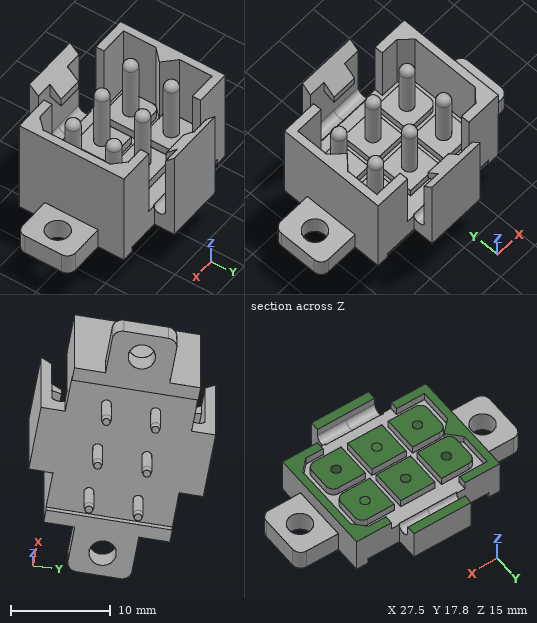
import cadquery as cq
import math

overall_length = 27.5
overall_depth = 17.8
housing_length = 17.65
housing_depth = 12.87
housing_height = 11.77
end_wall = 0.9
side_wall = 1.02
floor_top = 3.38
foot_length = 1.4
foot_height = 0.65

key_reach = 1.45
cavity_chamfer = 1.3
window_width = 9.02

ear_width = 6.55
ear_height = 2.5
ear_corner_radius = 1.02
ear_hole_diameter = 2.72
ear_hole_from_end = 2.53

latch_width = 7.07
latch_thickness = 1.1
latch_slot_width = 1.48
hook_neck_width = 3.02
hook_tip_height = 8.33
hook_root_height = 8.95

pin_pitch = 5.0
pin_columns = 3
pin_rows = 2
pedestal_size = 4.24
pedestal_height = 1.02
pedestal_corner_radius = 0.9

contact_radius = 0.82
tail_radius = 0.5
tail_tip_radius = 0.38
contact_dome_start = 10.85
tail_bottom = -3.22
tail_taper_length = 0.6

half_depth = overall_depth / 2
wall_y = housing_depth / 2
cavity_length = housing_length - 2 * end_wall
cavity_depth = housing_depth - 2 * side_wall
latch_inner_y = half_depth - latch_thickness
pedestal_top = floor_top + pedestal_height
pin_sites = [
    ((column - (pin_columns - 1) / 2) * pin_pitch, (row - (pin_rows - 1) / 2) * pin_pitch)
    for column in range(pin_columns)
    for row in range(pin_rows)
]


def block(length, depth, bottom, top):
    """Box centred on the Z axis between two heights."""
    return (
        cq.Workplane("XY")
        .workplane(offset=bottom)
        .rect(length, depth)
        .extrude(top - bottom)
    )


def make_ears():
    """Plate through the housing whose two ends are the mounting ears."""
    hole_x = overall_length / 2 - ear_hole_from_end
    return (
        block(overall_length, ear_width, 0, ear_height)
        .edges("|Z")
        .fillet(ear_corner_radius)
        .faces(">Z")
        .workplane(origin=(0, 0, ear_height))
        .pushPoints([(-hole_x, 0), (hole_x, 0)])
        .hole(ear_hole_diameter)
    )


def make_cavity():
    """Mating cavity with two chamfered corners at +X and a V rib at -X."""
    x = cavity_length / 2
    y = cavity_depth / 2
    return (
        cq.Workplane("XY")
        .workplane(offset=floor_top)
        .moveTo(-x, -y)
        .lineTo(x - cavity_chamfer, -y)
        .lineTo(x, -y + cavity_chamfer)
        .lineTo(x, y - cavity_chamfer)
        .lineTo(x - cavity_chamfer, y)
        .lineTo(-x, y)
        .lineTo(-x, key_reach)
        .lineTo(-x + key_reach, 0)
        .lineTo(-x, -key_reach)
        .close()
        .extrude(housing_height - floor_top)
    )


def make_pedestal(x, y):
    """Square pad under a pin; pads in the end columns have rounded outer corners."""
    pedestal = block(pedestal_size, pedestal_size, floor_top, pedestal_top)
    if x < 0:
        pedestal = pedestal.edges("|Z and <X").fillet(pedestal_corner_radius)
    elif x > 0:
        pedestal = pedestal.edges("|Z and >X").fillet(pedestal_corner_radius)
    return pedestal.translate((x, y, 0))


def extrude_across(profile, width):
    """Extrude a closed YZ profile by a width centred on X = 0."""
    return profile.extrude(width / 2, both=True)


def make_latch_arm():
    """Latch on the +Y side: a plate with a 45 degree top, joined to the housing at its foot."""
    profile = (
        cq.Workplane("YZ")
        .moveTo(wall_y, foot_height)
        .lineTo(half_depth, foot_height)
        .lineTo(half_depth, housing_height)
        .lineTo(latch_inner_y, housing_height - latch_thickness)
        .lineTo(latch_inner_y, floor_top)
        .lineTo(wall_y, floor_top)
        .close()
    )
    return extrude_across(profile, latch_width)


def make_latch_hook():
    """Narrow hook of the +Y latch, carrying its sloping top in to the housing wall."""
    profile = (
        cq.Workplane("YZ")
        .moveTo(latch_inner_y, hook_root_height)
        .lineTo(latch_inner_y, housing_height - latch_thickness)
        .lineTo(wall_y, housing_height - (half_depth - wall_y))
        .lineTo(wall_y, hook_tip_height)
        .close()
    )
    return extrude_across(profile, hook_neck_width)


def make_latch_slot():
    """Round-bottomed groove between the +Y latch and the housing."""
    radius = latch_slot_width / 2
    profile = cq.Workplane("YZ").center(latch_inner_y - radius, floor_top).circle(radius)
    return extrude_across(profile, latch_width)


def make_housing():
    body = block(housing_length, housing_depth, 0, housing_height).union(make_ears())
    body = body.cut(make_cavity())
    body = body.cut(block(window_width, housing_depth, floor_top, housing_height))
    body = body.cut(block(housing_length - 2 * foot_length, housing_depth, 0, foot_height))

    latch = make_latch_arm().union(make_latch_hook())
    slot = make_latch_slot()
    for turn in (0, 180):
        body = body.union(latch.rotate((0, 0, 0), (0, 0, 1), turn))
        body = body.cut(slot.rotate((0, 0, 0), (0, 0, 1), turn))

    for x, y in pin_sites:
        body = body.union(make_pedestal(x, y))
    holes = (
        cq.Workplane("XY")
        .pushPoints(pin_sites)
        .circle(tail_radius)
        .extrude(pedestal_top)
    )
    return body.cut(holes)


def make_pin(x, y):
    """Turned pin: domed contact standing on its pedestal, thin tail with a tapered tip."""
    dome_side = contact_radius * math.sqrt(0.5)
    profile = (
        cq.Workplane("XZ")
        .moveTo(0, tail_bottom)
        .lineTo(tail_tip_radius, tail_bottom)
        .lineTo(tail_radius, tail_bottom + tail_taper_length)
        .lineTo(tail_radius, pedestal_top)
        .lineTo(contact_radius, pedestal_top)
        .lineTo(contact_radius, contact_dome_start)
        .threePointArc(
            (dome_side, contact_dome_start + dome_side),
            (0, contact_dome_start + contact_radius),
        )
        .close()
    )
    return profile.revolve(360, (0, 0, 0), (0, 1, 0)).translate((x, y, 0))


housing = make_housing()
pins = [make_pin(x, y) for x, y in pin_sites]

result = cq.Compound.makeCompound([housing.val(), *[pin.val() for pin in pins]])